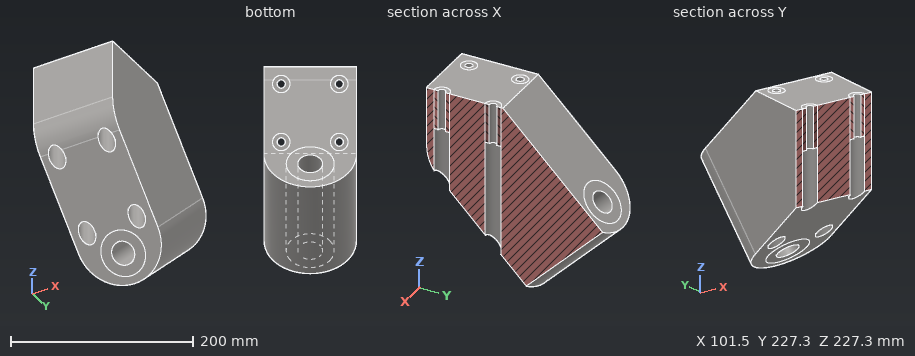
import cadquery as cq
import math

width = 101.5
overall = 227.3
top_length = 95.2
bend_radius = 50.0

bushing_diameter = 52.7
bushing_bore = 27.3
bushing_setback = 36.0

insert_diameter = 19.0
insert_bore = 8.9
insert_length = 50.0
insert_spacing = 63.6
insert_edge = 19.0

arm_thickness = top_length * math.sqrt(2)
upper_tip = (overall, top_length - overall)
lower_tip = (overall - top_length, -overall)

arm_plane = cq.Plane(origin=(0, *upper_tip), xDir=(-1, 0, 0), normal=(0, -1, -1))

insert_centers = [
    (side * insert_spacing / 2, insert_edge + row * insert_spacing)
    for row in (0, 1)
    for side in (-1, 1)
]


def make_blank():
    """Bent profile extruded across the width, with the bend rounded."""
    bend_corner = (0, -top_length)
    profile = [(0, 0), (top_length, 0), upper_tip, lower_tip, bend_corner]
    blank = cq.Workplane("YZ").polyline(profile).close().extrude(width / 2, both=True)
    bend_edge = cq.selectors.NearestToPointSelector((0, *bend_corner))
    return blank.edges(bend_edge).fillet(bend_radius)


def make_tip_waste():
    """Material outside the half-round arm end."""
    radius = width / 2
    square = cq.Workplane(arm_plane).center(0, -radius / 2).rect(width, radius).extrude(arm_thickness)
    round_end = cq.Workplane(arm_plane).center(0, -radius).circle(radius).extrude(arm_thickness)
    return square.cut(round_end)


def arm_cylinder(diameter):
    """Cylinder through the arm on the bushing axis."""
    return (
        cq.Workplane(arm_plane)
        .center(0, -bushing_setback)
        .circle(diameter / 2)
        .extrude(arm_thickness)
    )


def vertical_cylinder(center, diameter, depth):
    """Cylinder running down from the mounting face."""
    return cq.Workplane("XY").center(*center).circle(diameter / 2).extrude(-depth)


def make_housing():
    housing = make_blank().cut(make_tip_waste()).cut(arm_cylinder(bushing_diameter))
    for center in insert_centers:
        housing = housing.cut(vertical_cylinder(center, insert_diameter, overall))
    return housing


def make_bushing():
    return arm_cylinder(bushing_diameter).cut(arm_cylinder(bushing_bore))


def make_insert(center):
    outside = vertical_cylinder(center, insert_diameter, insert_length)
    return outside.cut(vertical_cylinder(center, insert_bore, insert_length))


housing = make_housing()
bushing = make_bushing()
inserts = [make_insert(center) for center in insert_centers]

result = cq.Compound.makeCompound(
    [housing.solids().val(), bushing.solids().val(), *[insert.solids().val() for insert in inserts]]
)